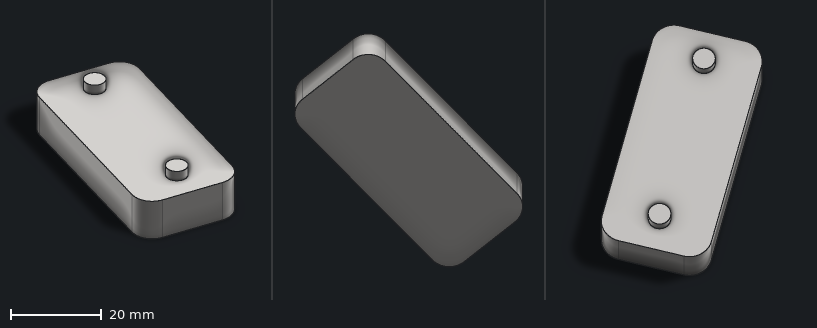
import cadquery as cq

length = 54.0
width = 25.0
total_height = 12.5
pin_height = 2.5
body_height = total_height - pin_height
corner_radius = 5.0

pin_diameter = 5.0
pin_spacing = 39.0


def make_body():
    """Block centred on the origin, resting on Z = 0."""
    block = cq.Workplane("XY").box(length, width, body_height, centered=(True, True, False))
    return block.edges("|Z").fillet(corner_radius)


def make_pins():
    """Pair of round pins on the long centre line, rising from the top face."""
    pin_centres = [(-pin_spacing / 2, 0), (pin_spacing / 2, 0)]
    top_face = cq.Workplane("XY").workplane(offset=body_height)
    return top_face.pushPoints(pin_centres).circle(pin_diameter / 2).extrude(pin_height)


result = make_body().union(make_pins())